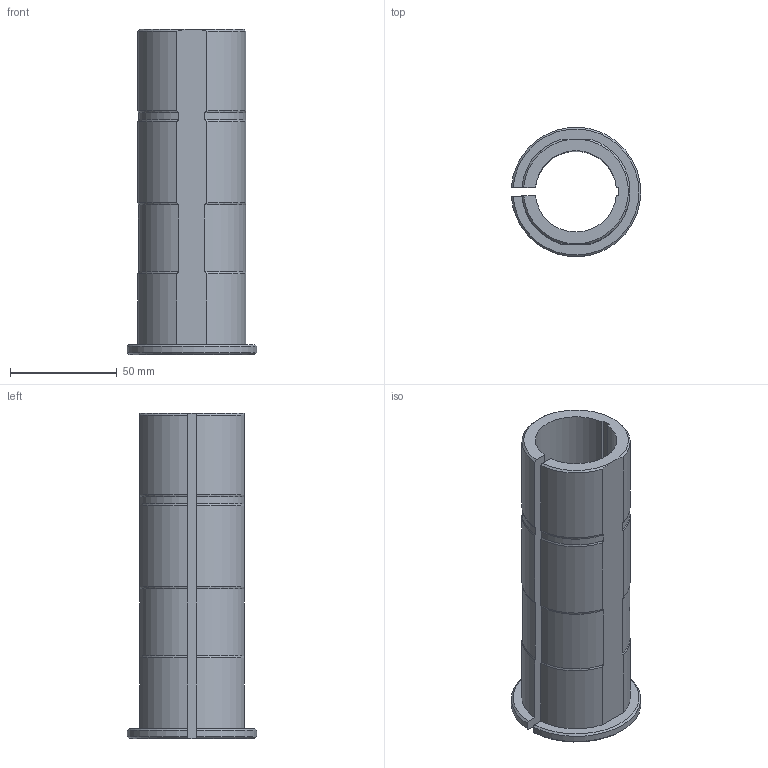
import cadquery as cq

total_height = 152.4
barrel_radius = 25.4
bore_radius = 19.05
edge_chamfer = 0.85

flange_radius = 30.39
flange_height = 4.7

groove_spans = [(37.9, 71.1), (109.2, 114.3)]
groove_depth = 0.25
groove_ramp_height = 0.9

flat_distance = 24.4

slit_width = 4.0
keyway_width = 4.0
keyway_reach = 20.0


def make_cylinder(radius, height):
    return cq.Workplane("XY").circle(radius).extrude(height)


def make_barrel():
    return make_cylinder(barrel_radius, total_height).faces(">Z").chamfer(edge_chamfer)


def make_groove(bottom, top):
    """Ring with sloped ends that cuts one groove into the barrel."""
    floor_radius = barrel_radius - groove_depth
    profile = (
        cq.Workplane("XZ")
        .moveTo(barrel_radius, bottom)
        .lineTo(floor_radius, bottom + groove_ramp_height)
        .lineTo(floor_radius, top - groove_ramp_height)
        .lineTo(barrel_radius, top)
        .close()
    )
    return profile.revolve(360, (0, 0, 0), (0, 1, 0))


def make_flats_envelope():
    """Slab between the two flats, wide enough to keep the barrel's full X width."""
    return cq.Workplane("XY").rect(2 * barrel_radius, 2 * flat_distance).extrude(total_height)


def make_flange():
    return make_cylinder(flange_radius, flange_height).edges().chamfer(edge_chamfer)


def make_slit():
    """Full-height cut from the axis out through the -X wall."""
    return (
        cq.Workplane("XY")
        .center(-flange_radius / 2, 0)
        .rect(flange_radius, slit_width)
        .extrude(total_height)
    )


def make_keyway():
    """Full-height keyway cut from the axis toward +X."""
    return (
        cq.Workplane("XY")
        .center(keyway_reach / 2, 0)
        .rect(keyway_reach, keyway_width)
        .extrude(total_height)
    )


barrel = make_barrel()
for groove_bottom, groove_top in groove_spans:
    barrel = barrel.cut(make_groove(groove_bottom, groove_top))
barrel = barrel.intersect(make_flats_envelope())

result = (
    barrel.union(make_flange())
    .cut(make_cylinder(bore_radius, total_height))
    .cut(make_slit())
    .cut(make_keyway())
)